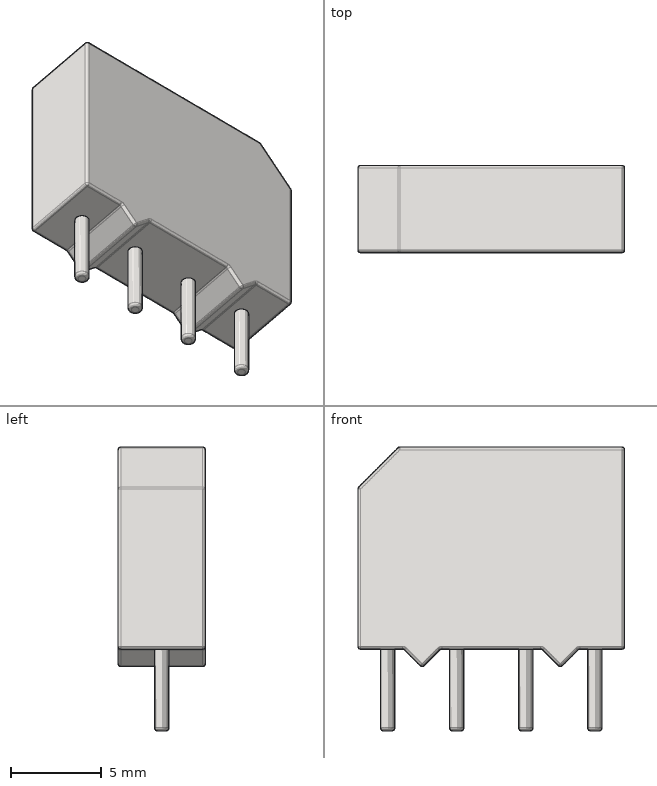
import cadquery as cq

case_width = 14.73
case_depth = 4.83
case_height = 11.17
corner_cut = 2.26
edge_radius = 0.15

tooth_height = 1.02
tooth_spacing = 7.63

lead_count = 4
lead_spacing = tooth_spacing / 2
lead_diameter = 0.8
lead_length = 4.52
lead_embed = 0.78
lead_tip_radius = 0.19


def make_case():
    """Case with one cut corner, two teeth and rounded edges."""
    half_width = case_width / 2
    outline = cq.Workplane("XZ").moveTo(-half_width, 0)
    for tooth_x in (-tooth_spacing / 2, tooth_spacing / 2):
        outline = (
            outline.lineTo(tooth_x - tooth_height, 0)
            .lineTo(tooth_x, -tooth_height)
            .lineTo(tooth_x + tooth_height, 0)
        )
    outline = (
        outline.lineTo(half_width, 0)
        .lineTo(half_width, case_height)
        .lineTo(-half_width + corner_cut, case_height)
        .lineTo(-half_width, case_height - corner_cut)
        .close()
    )
    return outline.extrude(case_depth / 2, both=True).edges().fillet(edge_radius)


def make_leads():
    """Row of round leads with rounded tips, rooted inside the case."""
    return (
        cq.Workplane("XY", origin=(0, 0, -lead_length))
        .rarray(lead_spacing, 0.15, lead_count, 1)
        .circle(lead_diameter / 2)
        .extrude(lead_length + lead_embed)
        .faces("<Z")
        .edges()
        .fillet(lead_tip_radius)
    )


result = make_case().union(make_leads())